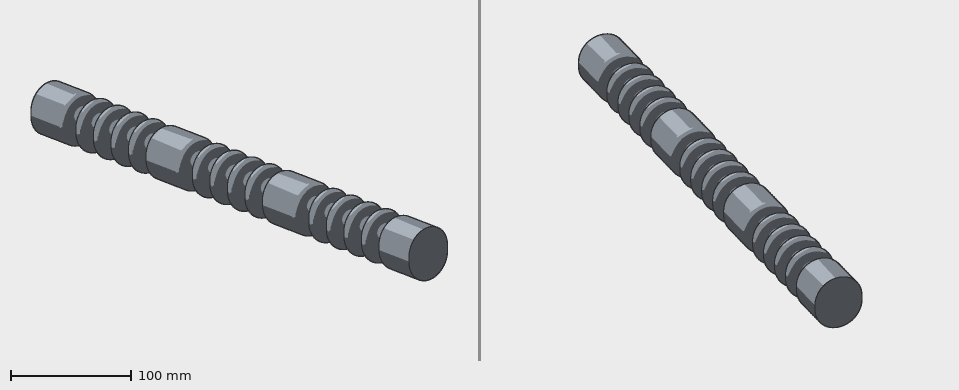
import cadquery as cq
import math

LENGTH = 474.0
WIDTH = 43.0
HEIGHT = 47.0
COLLAR_LENGTH = 36.0
COLLAR_COUNT = 4
GROOVES_PER_RUN = 5
WAIST_RADIUS = 5.5
CREST_RADIUS = 4.0

OUTER_RADIUS = WIDTH / 2
BAND_HEIGHT = HEIGHT - WIDTH

RUN_COUNT = COLLAR_COUNT - 1
GROOVE_PITCH = (LENGTH - COLLAR_COUNT * COLLAR_LENGTH) / (RUN_COUNT * GROOVES_PER_RUN)
TROUGH_RADIUS = GROOVE_PITCH / 2 - CREST_RADIUS

DIAGONAL = math.sqrt(0.5)


def add_groove(profile, start):
    """Continue the profile through one groove, from crest to crest."""
    middle = start + GROOVE_PITCH / 2
    crest_center_y = OUTER_RADIUS - CREST_RADIUS
    trough_center_y = WAIST_RADIUS + TROUGH_RADIUS
    wall_offset = TROUGH_RADIUS
    crest_mid_offset = GROOVE_PITCH / 2 - CREST_RADIUS * DIAGONAL
    crest_mid_y = crest_center_y + CREST_RADIUS * DIAGONAL
    trough_mid_offset = TROUGH_RADIUS * DIAGONAL
    trough_mid_y = trough_center_y - TROUGH_RADIUS * DIAGONAL

    profile = profile.threePointArc(
        (middle - crest_mid_offset, crest_mid_y), (middle - wall_offset, crest_center_y)
    )
    profile = profile.lineTo(middle - wall_offset, trough_center_y)
    profile = profile.threePointArc((middle - trough_mid_offset, trough_mid_y), (middle, WAIST_RADIUS))

    profile = profile.threePointArc(
        (middle + trough_mid_offset, trough_mid_y), (middle + wall_offset, trough_center_y)
    )
    profile = profile.lineTo(middle + wall_offset, crest_center_y)
    return profile.threePointArc(
        (middle + crest_mid_offset, crest_mid_y), (start + GROOVE_PITCH, OUTER_RADIUS)
    )


def half_profile(z):
    """Closed outline at height z, between the bar's axis and its +Y side."""
    x = -LENGTH / 2
    profile = cq.Workplane("XY", origin=(0, 0, z)).moveTo(x, 0).lineTo(x, OUTER_RADIUS)
    for _ in range(RUN_COUNT):
        x += COLLAR_LENGTH
        profile = profile.lineTo(x, OUTER_RADIUS)
        for _ in range(GROOVES_PER_RUN):
            profile = add_groove(profile, x)
            x += GROOVE_PITCH
    return profile.lineTo(LENGTH / 2, OUTER_RADIUS).lineTo(LENGTH / 2, 0).close()


half_band = half_profile(-BAND_HEIGHT / 2).extrude(BAND_HEIGHT)
band = half_band.union(half_band.mirror("XZ"))

upper = half_profile(BAND_HEIGHT / 2).revolve(180, (0, 0), (1, 0))
lower = upper.mirror("XY")

result = band.union(upper).union(lower)